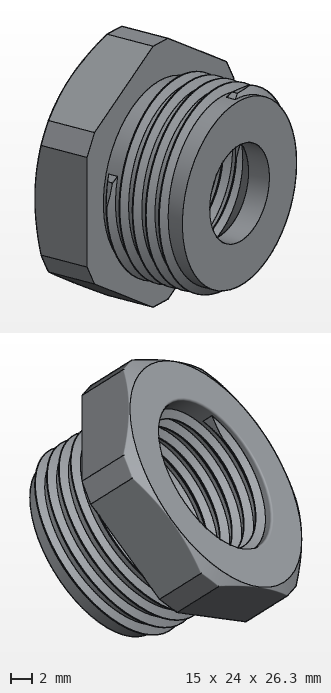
import cadquery as cq
import math

LENGTH = 15.0
HEAD_LENGTH = 6.0
ACROSS_FLATS = 24.0
ACROSS_CORNERS = 26.31
HEAD_FACE_DIA = 23.88
HEAD_CONE_ANGLE = 30.0
HEAD_EDGE_RADIUS = 0.11

PITCH = 1.5
CREST_WIDTH = 0.1
RIDGE_EMBED = 0.1
FADE_ANGLE = 18.0
FADE_CLEARANCE = 5.0

SHANK_DIA = 18.68
OUTER_CREST_DIA = 20.24
OUTER_FOOT_WIDTH = 1.02
OUTER_START_X = HEAD_LENGTH + 0.8
OUTER_START_ANGLE = 162.0
OUTER_TURNS = 4.8
OUTER_STEP_HEIGHT = 0.38
OUTER_STEP_ANGLE = 4.0

BORE_DIA = 15.66
BORE_DEPTH = 10.45
BORE_MOUTH_RADIUS = 0.22
LEDGE_DIA = 14.1
THROUGH_DIA = 9.75
BORE_CONE_ANGLE = 45.0
INNER_CREST_DIA = 14.17
INNER_FOOT_WIDTH = 1.12
INNER_START_X = 1.04
INNER_START_ANGLE = 90.0
INNER_TURNS = 5.8

FULL_TURN = 360.0
HEX_SIDES = 6
HALF_HEX_STEP = FULL_TURN / HEX_SIDES / 2
ORIGIN = (0, 0, 0)
X_AXIS = (1, 0, 0)
CUBE_DIAGONAL = (1, 1, 1)
AXIS_SWAP_ANGLE = FULL_TURN / 3


def tan(angle):
    return math.tan(math.radians(angle))


def polar(radius, angle):
    """Point in the YZ plane, angle measured from +Y towards +Z."""
    return radius * math.cos(math.radians(angle)), radius * math.sin(math.radians(angle))


def hexagon(across_flats):
    """Hexagonal bar as long as the head, with two of its flats facing +Z and -Z."""
    corner_dia = across_flats / math.cos(math.radians(HALF_HEX_STEP))
    return cq.Workplane("YZ").polygon(HEX_SIDES, corner_dia).extrude(HEAD_LENGTH)


def make_head():
    """Hexagon with cut-off corners, a coned front and softly rounded cone edges."""
    flats = hexagon(ACROSS_FLATS).rotate(ORIGIN, X_AXIS, HALF_HEX_STEP)
    corner_cuts = hexagon(ACROSS_CORNERS)
    face_radius = HEAD_FACE_DIA / 2
    cone_end_radius = face_radius + HEAD_LENGTH / tan(HEAD_CONE_ANGLE)
    cone = cq.Solid.makeCone(
        face_radius, cone_end_radius, HEAD_LENGTH, cq.Vector(ORIGIN), cq.Vector(X_AXIS)
    )
    head = flats.intersect(corner_cuts).intersect(cq.Workplane(cone))
    cone_edges = head.faces("%CONE").edges().vals()
    side_edges = [edge for edge in cone_edges if edge.geomType() == "HYPERBOLA"]
    return head.newObject(side_edges).fillet(HEAD_EDGE_RADIUS)


def make_shank():
    shank_length = LENGTH - HEAD_LENGTH
    return cq.Workplane("YZ", origin=(HEAD_LENGTH, 0, 0)).circle(SHANK_DIA / 2).extrude(shank_length)


def make_cavity():
    """Cavity: rounded mouth, threaded bore, ledge, cone and through hole."""
    bore_radius = BORE_DIA / 2
    ledge_radius = LEDGE_DIA / 2
    through_radius = THROUGH_DIA / 2
    cone_length = (ledge_radius - through_radius) / tan(BORE_CONE_ANGLE)
    return (
        cq.Workplane("XY")
        .moveTo(0, 0)
        .lineTo(0, bore_radius + BORE_MOUTH_RADIUS)
        .radiusArc((BORE_MOUTH_RADIUS, bore_radius), -BORE_MOUTH_RADIUS)
        .lineTo(BORE_DEPTH, bore_radius)
        .lineTo(BORE_DEPTH, ledge_radius)
        .lineTo(BORE_DEPTH + cone_length, through_radius)
        .lineTo(LENGTH, through_radius)
        .lineTo(LENGTH, 0)
        .close()
        .revolve(FULL_TURN, ORIGIN, X_AXIS)
    )


def make_ridge(wall_radius, crest_radius, foot_width, start_x, start_angle, turns):
    """Helical V ridge rising from the wall to the crest (outward or inward)."""
    outward = math.copysign(1, crest_radius - wall_radius)
    embedded_radius = wall_radius - outward * RIDGE_EMBED
    flank_slope = (foot_width - CREST_WIDTH) / 2 / abs(crest_radius - wall_radius)
    embedded_width = foot_width + 2 * RIDGE_EMBED * flank_slope
    section = (
        cq.Workplane("XZ")
        .moveTo(embedded_radius, -embedded_width / 2)
        .lineTo(crest_radius, -CREST_WIDTH / 2)
        .lineTo(crest_radius, CREST_WIDTH / 2)
        .lineTo(embedded_radius, embedded_width / 2)
        .close()
    )
    helix = cq.Wire.makeHelix(PITCH, turns * PITCH, wall_radius)
    ridge = section.sweep(cq.Workplane(helix), isFrenet=True)
    ridge = ridge.rotate(ORIGIN, CUBE_DIAGONAL, AXIS_SWAP_ANGLE)
    return ridge.rotate(ORIGIN, X_AXIS, start_angle).translate((start_x, 0, 0))


def fade_ridge_end(ridge, end_x, end_angle, direction, ramp):
    """Slope one ridge end down to the wall.

    The ramp lists (radius, angle from the ridge end) from wall to crest; direction is
    +1 or -1 for a ridge that runs on towards larger or smaller angles.
    """
    wall_radius = ramp[0][0]
    crest_radius, fade_angle = ramp[-1]
    clear_radius = crest_radius + (crest_radius - wall_radius)
    outline = ramp + [
        (clear_radius, fade_angle),
        (clear_radius, -FADE_CLEARANCE),
        (wall_radius, -FADE_CLEARANCE),
    ]
    points = [polar(radius, end_angle + direction * angle) for radius, angle in outline]
    cutter = (
        cq.Workplane("YZ", origin=(end_x, 0, 0))
        .polyline(points)
        .close()
        .extrude(PITCH / 2, both=True)
    )
    return ridge.cut(cutter)


def make_thread(ramp, foot_width, start_x, start_angle, turns):
    """Ridge between the wall and crest radii of the ramp, faded at both ends."""
    wall_radius = ramp[0][0]
    crest_radius = ramp[-1][0]
    end_x = start_x + turns * PITCH
    end_angle = start_angle + turns * FULL_TURN
    ridge = make_ridge(wall_radius, crest_radius, foot_width, start_x, start_angle, turns)
    ridge = fade_ridge_end(ridge, start_x, start_angle, 1, ramp)
    return fade_ridge_end(ridge, end_x, end_angle, -1, ramp)


def make_outer_thread():
    shank_radius = SHANK_DIA / 2
    ramp = [
        (shank_radius, 0),
        (shank_radius + OUTER_STEP_HEIGHT, OUTER_STEP_ANGLE),
        (OUTER_CREST_DIA / 2, FADE_ANGLE),
    ]
    return make_thread(ramp, OUTER_FOOT_WIDTH, OUTER_START_X, OUTER_START_ANGLE, OUTER_TURNS)


def make_inner_thread():
    ramp = [(BORE_DIA / 2, 0), (INNER_CREST_DIA / 2, FADE_ANGLE)]
    return make_thread(ramp, INNER_FOOT_WIDTH, INNER_START_X, INNER_START_ANGLE, INNER_TURNS)


body = make_head().union(make_shank()).cut(make_cavity())
result = body.union(make_outer_thread()).union(make_inner_thread()).solids()